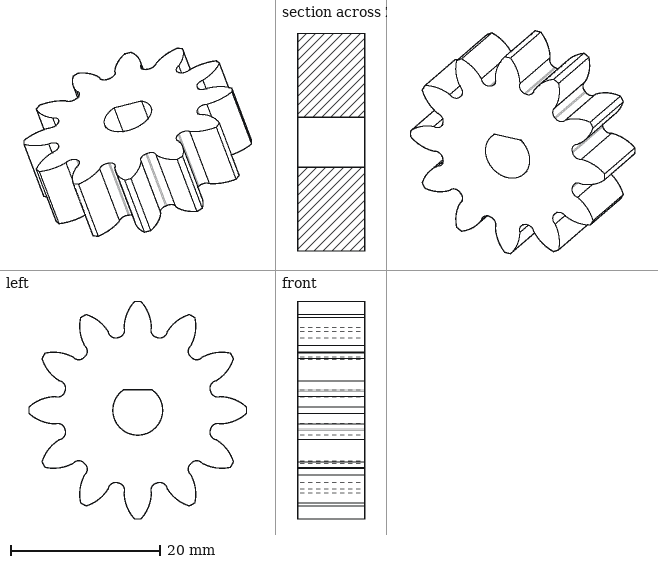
import cadquery as cq
import math

tooth_count = 12
outer_radius = 14.6
gear_width = 9.0

tip_half_thickness = 0.45
middle_half_thickness = 1.45
middle_height = 12.96
flank_foot_height = 11.1

root_radius = 10.1
root_land_width = 0.18
fillet_radius = 1.0

bore_radius = 3.33
bore_flat_height = 2.72

pitch_angle = 2 * math.pi / tooth_count
gullet_angle = pitch_angle / 2
land_half_angle = root_land_width / 2 / root_radius
fillet_angle = gullet_angle - land_half_angle
fillet_centre_radius = root_radius + fillet_radius
fillet_centre_y = fillet_centre_radius * math.sin(fillet_angle)
fillet_centre_z = fillet_centre_radius * math.cos(fillet_angle)

foot_rise = flank_foot_height - fillet_centre_z
foot_half_thickness = fillet_centre_y - math.sqrt(fillet_radius**2 - foot_rise**2)

foot_direction = math.pi - math.asin(foot_rise / fillet_radius)
land_direction = 3 * math.pi / 2 - fillet_angle
fillet_middle_direction = (foot_direction + land_direction) / 2
fillet_middle_y = fillet_centre_y + fillet_radius * math.cos(fillet_middle_direction)
fillet_middle_z = fillet_centre_z + fillet_radius * math.sin(fillet_middle_direction)
tip_height = math.sqrt(outer_radius**2 - tip_half_thickness**2)


def turned(point, angle):
    """Rotate a (y, z) point from +Z towards +Y."""
    y, z = point
    return (
        y * math.cos(angle) + z * math.sin(angle),
        z * math.cos(angle) - y * math.sin(angle),
    )


def gear_blank():
    """Extrude the closed outline of all teeth and gullets."""
    outline = cq.Workplane("YZ").moveTo(-foot_half_thickness, flank_foot_height)
    for tooth in range(tooth_count):
        angle = tooth * pitch_angle

        def on_tooth(y, z):
            return turned((y, z), angle)

        def on_next_tooth(y, z):
            return turned((y, z), angle + pitch_angle)

        def on_root(root_angle):
            return turned((0, root_radius), angle + root_angle)

        outline = (
            outline
            .threePointArc(
                on_tooth(-middle_half_thickness, middle_height),
                on_tooth(-tip_half_thickness, tip_height),
            )
            .threePointArc(on_tooth(0, outer_radius), on_tooth(tip_half_thickness, tip_height))
            .threePointArc(
                on_tooth(middle_half_thickness, middle_height),
                on_tooth(foot_half_thickness, flank_foot_height),
            )
            .threePointArc(on_tooth(fillet_middle_y, fillet_middle_z), on_root(fillet_angle))
            .threePointArc(on_root(gullet_angle), on_root(gullet_angle + land_half_angle))
            .threePointArc(
                on_next_tooth(-fillet_middle_y, fillet_middle_z),
                on_next_tooth(-foot_half_thickness, flank_foot_height),
            )
        )
    return outline.close().extrude(gear_width / 2, both=True)


def d_bore():
    """Through bore with a flat on its +Z side."""
    flat_half_width = math.sqrt(bore_radius**2 - bore_flat_height**2)
    return (
        cq.Workplane("YZ")
        .moveTo(-flat_half_width, bore_flat_height)
        .lineTo(flat_half_width, bore_flat_height)
        .threePointArc((0, -bore_radius), (-flat_half_width, bore_flat_height))
        .close()
        .extrude(gear_width / 2, both=True)
    )


result = gear_blank().cut(d_bore())